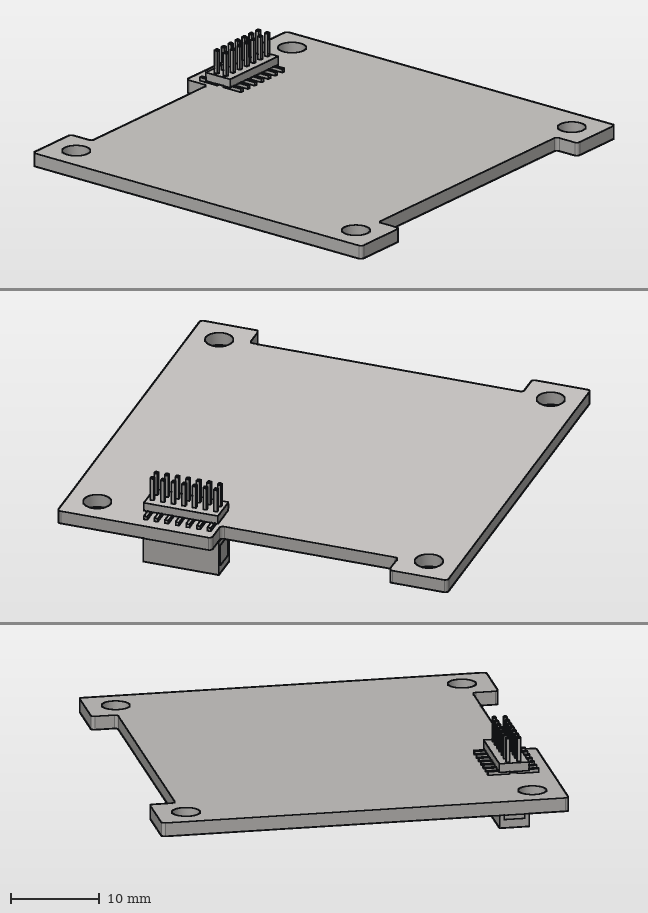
import cadquery as cq

overall_height = 10.51

board_size = 46.8
board_thickness = 1.6
notch_depth = 3.0
tab_length = 7.0
left_notch_top = 4.9
corner_radius = 0.4
mounting_pitch = board_size - tab_length
mounting_diameter = 3.2

connector_x = -19.03
connector_y = 9.55
connector_width = 3.43
contacts_per_row = 7
pitch = 1.27
contact_width = 0.406

header_length = contacts_per_row * pitch
header_standoff = 0.4
header_thickness = 1.02
header_height = 4.32
header_lead_span = 5.84
pin_tip_chamfer = 0.15

socket_length = 9.1
socket_height = overall_height - board_thickness - header_height
socket_standoff = 0.36
socket_lead_span = 4.6
socket_lead_thickness = 0.28
socket_channel_width = 1.7

core_width = 2.4
core_height = 2.6
core_floor_thickness = 1.0
core_bottom = core_floor_thickness - socket_height

peg_spacing = (contacts_per_row - 2) * pitch
peg_depth = board_thickness / 2
header_peg_diameter = 1.02
socket_peg_diameter = 0.7


def block(x_size, y_size, bottom, top):
    """Box centred on the Z axis, between two heights."""
    return cq.Workplane("XY").workplane(offset=bottom).rect(x_size, y_size).extrude(top - bottom)


def at_connector(shape):
    """Moves a shape from the Z axis to the place of the connectors."""
    return shape.translate((connector_x, connector_y, 0))


def in_two_rows(body, contact, row_x):
    """Joins a contact to the body at every place of two rows, at -row_x and row_x."""
    for index in range(contacts_per_row):
        y = (index - (contacts_per_row - 1) / 2) * pitch
        for side in (-1, 1):
            body = body.union(contact.translate((side * row_x, y, 0)))
    return body


def pegs(diameter, bottom, top):
    """The pair of round locating pegs of one connector."""
    pair = cq.Workplane("XY").workplane(offset=bottom).rarray(1, peg_spacing, 1, 2)
    return at_connector(pair.circle(diameter / 2).extrude(top - bottom))


def make_header_pegs():
    """Pegs from the header housing into the upper half of the board."""
    return pegs(header_peg_diameter, board_thickness - peg_depth, board_thickness + header_standoff)


def make_socket_pegs():
    """Pegs from the socket housing into the lower half of the board."""
    return pegs(socket_peg_diameter, -socket_standoff, peg_depth)


def make_board():
    half = board_size / 2
    plate = block(board_size, board_size, 0, board_thickness)
    notch_bottom = tab_length - half
    for side, notch_top in ((-1, left_notch_top), (1, half - tab_length)):
        notch = block(2 * notch_depth, notch_top - notch_bottom, 0, board_thickness)
        plate = plate.cut(notch.translate((side * half, (notch_top + notch_bottom) / 2, 0)))
    plate = plate.edges("|Z").fillet(corner_radius)
    mounting_holes = (
        cq.Workplane("XY")
        .rarray(mounting_pitch, mounting_pitch, 2, 2)
        .circle(mounting_diameter / 2)
        .extrude(board_thickness)
    )
    return plate.cut(mounting_holes).cut(make_header_pegs()).cut(make_socket_pegs())


def make_header():
    housing_bottom = board_thickness + header_standoff
    header = block(connector_width, header_length, housing_bottom, housing_bottom + header_thickness)

    pin = block(contact_width, contact_width, board_thickness, board_thickness + header_height)
    pin = pin.faces(">Z").edges().chamfer(pin_tip_chamfer)
    header = in_two_rows(header, pin, pitch / 2)

    lead_length = (header_lead_span - pitch + contact_width) / 2
    lead = block(lead_length, contact_width, board_thickness, board_thickness + contact_width)
    header = in_two_rows(header, lead, (header_lead_span - lead_length) / 2)
    return at_connector(header).union(make_header_pegs())


def make_socket_core():
    return at_connector(block(core_width, socket_length, core_bottom, core_bottom + core_height))


def make_socket():
    socket = block(connector_width, socket_length, -socket_height, -socket_lead_thickness)
    channel = block(socket_channel_width, socket_length, -socket_standoff, -socket_lead_thickness)
    socket = socket.cut(channel)

    lead_length = (socket_lead_span - socket_channel_width) / 2
    lead = block(lead_length, contact_width, -socket_lead_thickness, 0)
    socket = in_two_rows(socket, lead, (socket_lead_span - lead_length) / 2)
    return at_connector(socket).cut(make_socket_core()).union(make_socket_pegs())


board = make_board()
header = make_header()
socket = make_socket()
socket_core = make_socket_core()

result = cq.Compound.makeCompound([board.val(), header.val(), socket.val(), socket_core.val()])